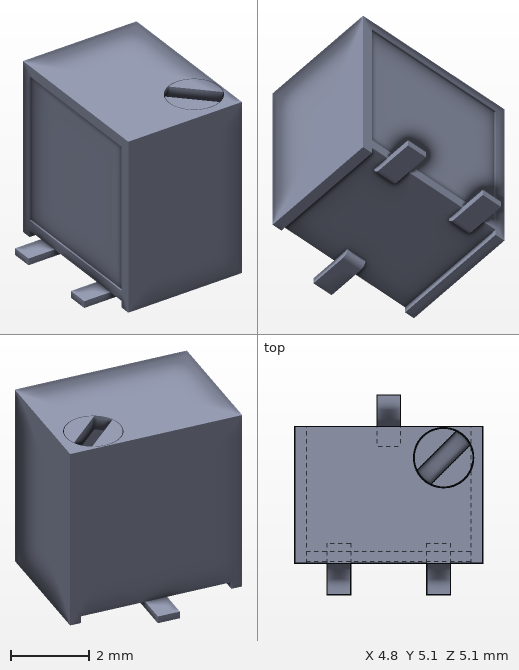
import cadquery as cq

WIDTH = 4.8
DEPTH = 3.5
HEIGHT = 5.1
WALL = 0.3

LEAD_THICKNESS = 0.2
LEAD_WIDTH = 0.61
LEAD_PITCH = 1.27
LEAD_REACH = (HEIGHT - DEPTH) / 2
LEAD_INSIDE = 0.51

PANEL_WIDTH = WIDTH - 2 * WALL
PANEL_BOTTOM = LEAD_THICKNESS + WALL
PANEL_HEIGHT = HEIGHT - WALL - PANEL_BOTTOM
PANEL_SETBACK = 0.05
PANEL_THICKNESS = 0.255

SCREW_X = WIDTH / 2 - 1.0
SCREW_Y = DEPTH / 2 - 0.8
SCREW_RADIUS = 0.75
SCREW_CLEARANCE = 0.02
SCREW_HEIGHT = 0.8
SLOT_WIDTH = 0.5
SLOT_DEPTH = 0.4
SLOT_ANGLE = 45

FRONT = -DEPTH / 2


def block(width, depth, height, x, y_front, z_bottom):
    """Box centred on x, with its front and bottom faces at the given places."""
    return (
        cq.Workplane("XY")
        .box(width, depth, height, centered=(True, False, False))
        .translate((x, y_front, z_bottom))
    )


def make_housing():
    body = block(WIDTH, DEPTH, HEIGHT, 0, FRONT, 0)
    foot_gap = block(PANEL_WIDTH, DEPTH, LEAD_THICKNESS, 0, FRONT, 0)
    panel_recess = block(
        PANEL_WIDTH, PANEL_SETBACK + PANEL_THICKNESS, PANEL_HEIGHT, 0, FRONT, PANEL_BOTTOM
    )
    screw_hole = (
        cq.Workplane("XY")
        .circle(SCREW_RADIUS + SCREW_CLEARANCE)
        .extrude(SCREW_HEIGHT)
        .translate((SCREW_X, SCREW_Y, HEIGHT - SCREW_HEIGHT))
    )
    return body.cut(foot_gap).cut(panel_recess).cut(screw_hole)


def make_panel():
    return block(
        PANEL_WIDTH, PANEL_THICKNESS, PANEL_HEIGHT, 0, FRONT + PANEL_SETBACK, PANEL_BOTTOM
    )


def make_screw():
    slot = (
        cq.Workplane("XY")
        .box(2 * SCREW_RADIUS, SLOT_WIDTH, SLOT_DEPTH, centered=(True, True, False))
        .rotate((0, 0, 0), (0, 0, 1), SLOT_ANGLE)
        .translate((0, 0, SCREW_HEIGHT - SLOT_DEPTH))
    )
    screw = cq.Workplane("XY").circle(SCREW_RADIUS).extrude(SCREW_HEIGHT).cut(slot)
    return screw.translate((SCREW_X, SCREW_Y, HEIGHT - SCREW_HEIGHT))


def make_lead(x, turn):
    """Flat lead leaving the back of the housing, its inner end rounded underneath.

    A turn of 180 degrees about Z makes it leave the front instead.
    """
    inner_end = DEPTH / 2 - LEAD_INSIDE
    outer_end = DEPTH / 2 + LEAD_REACH
    return (
        cq.Workplane("YZ")
        .moveTo(inner_end, LEAD_THICKNESS)
        .lineTo(outer_end, LEAD_THICKNESS)
        .lineTo(outer_end, 0)
        .lineTo(inner_end + LEAD_THICKNESS, 0)
        .radiusArc((inner_end, LEAD_THICKNESS), LEAD_THICKNESS)
        .close()
        .extrude(LEAD_WIDTH / 2, both=True)
        .rotate((0, 0, 0), (0, 0, 1), turn)
        .translate((x, 0, 0))
    )


housing = make_housing()
panel = make_panel()
screw = make_screw()
lead_places = [(0, 0), (-LEAD_PITCH, 180), (LEAD_PITCH, 180)]
leads = [make_lead(x, turn) for x, turn in lead_places]

result = cq.Compound.makeCompound(
    [housing.val(), panel.val(), screw.val(), *[lead.val() for lead in leads]]
)